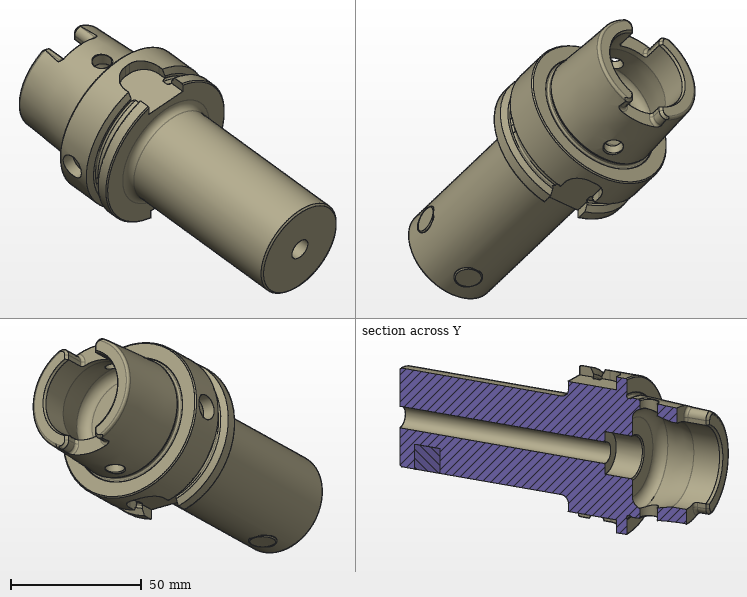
import cadquery as cq
import math

NOSE_X = -32.0
SHANK_END_X = 99.9

TAPER_RADIUS = 24.2
TAPER_SLOPE = 0.05
NOSE_EDGE_RADIUS = 1.1

UNDERCUT_START_X = -2.2
UNDERCUT_FLOOR_X = -1.3
UNDERCUT_RADIUS = 23.7
UNDERCUT_CORNER = 0.7
FACE_RELIEF_RADIUS = 25.2
FACE_RELIEF_DEPTH = 0.2

FLANGE_RADIUS = 31.5
FLANGE_WIDTH = 26.0
FLANGE_CHAMFER = 0.5

GROOVE_FRONT_X = 14.7
GROOVE_REAR_X = 21.3
GROOVE_RADIUS = 27.3
GROOVE_CORNER = 0.7
GROOVE_FLANK_DEPTH = 2.5
GROOVE_FLANK_ANGLE = 30.0
GROOVE_FLANK_RUN = GROOVE_FLANK_DEPTH * math.tan(math.radians(GROOVE_FLANK_ANGLE))

SHANK_RADIUS = 20.0
SHANK_FILLET = 3.0
SHANK_CHAMFER = 0.7

MOUTH_RADIUS = 17.6
MOUTH_LENGTH = 1.1
BORE_RADIUS = 17.0
BORE_LENGTH = 12.4
BORE_END_X = NOSE_X + BORE_LENGTH
CAVITY_RADIUS = 20.0
CAVITY_END_X = -6.5
CAVITY_FILLET = 4.2
BORE_FLOOR_X = CAVITY_END_X + CAVITY_FILLET
SEAT_RADIUS = 8.5
SEAT_CHAMFER = 0.5
SEAT_DEPTH = 12.0
COOLANT_RADIUS = 4.25

SLOT_WIDTH = 12.5
SLOT_EDGE_RADIUS = 3.0
SLOT_EDGE_Z = 20.75
SLOT_FLOOR_FILLET = 1.2
SLOT_MOUTH_CHAMFER = NOSE_EDGE_RADIUS
TOP_SLOT_DEPTH = 10.1
BOTTOM_SLOT_DEPTH = 6.0

ACCESS_X = -9.3
ACCESS_DIAMETER = 7.5
ACCESS_CHAMFER = 0.45

KEYWAY_FLOOR_Z = 26.3
KEYWAY_FRONT_X = 4.8
TOP_KEYWAY_WIDTH = 18.0
BOTTOM_KEYWAY_WIDTH = 16.0
KEYWAY_END_FLAT = 2.0

POCKET_X = 7.0
POCKET_DIAMETER = 10.0
POCKET_DEPTH = 5.0

SCREW_X = 87.8
SCREW_DIAMETER = 11.0
SCREW_LENGTH = 10.0
SCREW_CHAMFER = 0.5
SCREW_ANGLES = (180, -90)


def taper_radius(x):
    return TAPER_RADIUS + TAPER_SLOPE * (x - UNDERCUT_START_X)


def holder_blank():
    """Turned outside, from the nose to the end of the shank."""
    nose_edge_x = NOSE_X + NOSE_EDGE_RADIUS
    nose_mid = NOSE_EDGE_RADIUS * math.sqrt(0.5)
    undercut_mid = UNDERCUT_CORNER * (1 - math.sqrt(0.5))
    groove_mid = GROOVE_CORNER * (1 - math.sqrt(0.5))
    groove_wall_front_x = GROOVE_FRONT_X + GROOVE_FLANK_RUN
    groove_wall_rear_x = GROOVE_REAR_X - GROOVE_FLANK_RUN
    fillet_mid = SHANK_FILLET * (1 - math.sqrt(0.5))
    flank_radius = FLANGE_RADIUS - GROOVE_FLANK_DEPTH
    return (
        cq.Workplane("XY")
        .moveTo(NOSE_X, 0)
        .lineTo(NOSE_X, taper_radius(nose_edge_x) - NOSE_EDGE_RADIUS)
        .threePointArc(
            (nose_edge_x - nose_mid, taper_radius(nose_edge_x) - NOSE_EDGE_RADIUS + nose_mid),
            (nose_edge_x, taper_radius(nose_edge_x)),
        )
        .lineTo(UNDERCUT_START_X, TAPER_RADIUS)
        .lineTo(UNDERCUT_FLOOR_X, UNDERCUT_RADIUS)
        .lineTo(FACE_RELIEF_DEPTH - UNDERCUT_CORNER, UNDERCUT_RADIUS)
        .threePointArc(
            (FACE_RELIEF_DEPTH - undercut_mid, UNDERCUT_RADIUS + undercut_mid),
            (FACE_RELIEF_DEPTH, UNDERCUT_RADIUS + UNDERCUT_CORNER),
        )
        .lineTo(FACE_RELIEF_DEPTH, FACE_RELIEF_RADIUS - FACE_RELIEF_DEPTH)
        .lineTo(0, FACE_RELIEF_RADIUS)
        .lineTo(0, FLANGE_RADIUS - FLANGE_CHAMFER)
        .lineTo(FLANGE_CHAMFER, FLANGE_RADIUS)
        .lineTo(GROOVE_FRONT_X, FLANGE_RADIUS)
        .lineTo(groove_wall_front_x, flank_radius)
        .lineTo(groove_wall_front_x, GROOVE_RADIUS + GROOVE_CORNER)
        .threePointArc(
            (groove_wall_front_x + groove_mid, GROOVE_RADIUS + groove_mid),
            (groove_wall_front_x + GROOVE_CORNER, GROOVE_RADIUS),
        )
        .lineTo(groove_wall_rear_x - GROOVE_CORNER, GROOVE_RADIUS)
        .threePointArc(
            (groove_wall_rear_x - groove_mid, GROOVE_RADIUS + groove_mid),
            (groove_wall_rear_x, GROOVE_RADIUS + GROOVE_CORNER),
        )
        .lineTo(groove_wall_rear_x, flank_radius)
        .lineTo(GROOVE_REAR_X, FLANGE_RADIUS)
        .lineTo(FLANGE_WIDTH - FLANGE_CHAMFER, FLANGE_RADIUS)
        .lineTo(FLANGE_WIDTH, FLANGE_RADIUS - FLANGE_CHAMFER)
        .lineTo(FLANGE_WIDTH, SHANK_RADIUS + SHANK_FILLET)
        .threePointArc(
            (FLANGE_WIDTH + fillet_mid, SHANK_RADIUS + fillet_mid),
            (FLANGE_WIDTH + SHANK_FILLET, SHANK_RADIUS),
        )
        .lineTo(SHANK_END_X - SHANK_CHAMFER, SHANK_RADIUS)
        .lineTo(SHANK_END_X, SHANK_RADIUS - SHANK_CHAMFER)
        .lineTo(SHANK_END_X, 0)
        .close()
        .revolve(360, (0, 0, 0), (1, 0, 0))
    )


def bore():
    """Everything removed along the axis: mouth, bore, cavity, seat and coolant passage."""
    fillet_run = CAVITY_FILLET * math.sqrt(0.5)
    fillet_center_radius = CAVITY_RADIUS - CAVITY_FILLET
    return (
        cq.Workplane("XY")
        .moveTo(NOSE_X, 0)
        .lineTo(NOSE_X, MOUTH_RADIUS)
        .lineTo(NOSE_X + MOUTH_LENGTH, BORE_RADIUS)
        .lineTo(BORE_END_X, BORE_RADIUS)
        .lineTo(CAVITY_END_X, CAVITY_RADIUS)
        .threePointArc(
            (CAVITY_END_X + fillet_run, fillet_center_radius + fillet_run),
            (BORE_FLOOR_X, fillet_center_radius),
        )
        .lineTo(BORE_FLOOR_X, SEAT_RADIUS + SEAT_CHAMFER)
        .lineTo(BORE_FLOOR_X + SEAT_CHAMFER, SEAT_RADIUS)
        .lineTo(BORE_FLOOR_X + SEAT_DEPTH, SEAT_RADIUS)
        .lineTo(BORE_FLOOR_X + SEAT_DEPTH, COOLANT_RADIUS)
        .lineTo(SHANK_END_X, COOLANT_RADIUS)
        .lineTo(SHANK_END_X, 0)
        .close()
        .revolve(360, (0, 0, 0), (1, 0, 0))
    )


def drive_slot_outline(x, spread):
    """Cross-section of a +Z drive slot at x, with every wall moved out by the given spread."""
    half = SLOT_WIDTH / 2 + spread
    edge_z = SLOT_EDGE_Z - spread
    radius = SLOT_EDGE_RADIUS - spread
    mid = radius * (1 - math.sqrt(0.5))
    outside_y = SLOT_WIDTH
    return (
        cq.Workplane("YZ", origin=(x, 0, 0))
        .moveTo(-half, 0)
        .lineTo(half, 0)
        .lineTo(half, edge_z - radius)
        .threePointArc((half + mid, edge_z - mid), (half + radius, edge_z))
        .lineTo(outside_y, edge_z)
        .lineTo(outside_y, FLANGE_RADIUS)
        .lineTo(-outside_y, FLANGE_RADIUS)
        .lineTo(-outside_y, edge_z)
        .lineTo(-half - radius, edge_z)
        .threePointArc((-half - mid, edge_z - mid), (-half, edge_z - radius))
        .close()
    )


def drive_slot(depth):
    """Cutter for a slot in the +Z side of the nose, with rounded outer edges and a flared mouth."""
    slot = (
        drive_slot_outline(NOSE_X, 0)
        .extrude(depth)
        .faces(">X")
        .edges()
        .fillet(SLOT_FLOOR_FILLET)
    )
    mouth_wire = drive_slot_outline(NOSE_X, SLOT_MOUTH_CHAMFER).val()
    slot_wire = drive_slot_outline(NOSE_X + SLOT_MOUTH_CHAMFER, 0).val()
    mouth = cq.Solid.makeLoft([mouth_wire, slot_wire], True)
    return slot.union(cq.Workplane(mouth))


def access_hole():
    """Cutter for the hole through the taper wall on +Z, countersunk at the outside."""
    radius = ACCESS_DIAMETER / 2
    rim_radius = radius + ACCESS_CHAMFER
    surface_z = taper_radius(ACCESS_X)
    return (
        cq.Workplane("XZ", origin=(ACCESS_X, 0, 0))
        .lineTo(radius, 0)
        .lineTo(radius, surface_z - ACCESS_CHAMFER)
        .lineTo(rim_radius, surface_z)
        .lineTo(rim_radius, FLANGE_RADIUS)
        .lineTo(0, FLANGE_RADIUS)
        .close()
        .revolve(360, (0, 0, 0), (0, 1, 0))
    )


def keyway(width):
    """Cutter for a flat-floored keyway in the +Z side of the flange, open at the back."""
    length = FLANGE_WIDTH - KEYWAY_FRONT_X
    return (
        cq.Workplane("XY", origin=(KEYWAY_FRONT_X + length / 2, 0, KEYWAY_FLOOR_Z))
        .rect(length, width)
        .extrude(FLANGE_RADIUS - KEYWAY_FLOOR_Z)
        .edges("|Z and <X")
        .fillet((width - KEYWAY_END_FLAT) / 2)
    )


def rim_pocket():
    """Cutter for the round blind pocket in the -Y side of the flange."""
    return (
        cq.Workplane("XZ", origin=(POCKET_X, -FLANGE_RADIUS + POCKET_DEPTH, 0))
        .circle(POCKET_DIAMETER / 2)
        .extrude(POCKET_DEPTH)
    )


def on_bottom(cutter):
    """Turns a +Z feature to the -Z side."""
    return cutter.rotate((0, 0, 0), (1, 0, 0), 180)


def clamping_screw_hole(angle):
    """Blind hole in the shank for a clamping screw, turned about X from +Z by the given angle."""
    return (
        cq.Workplane("XY", origin=(SCREW_X, 0, SHANK_RADIUS - SCREW_LENGTH))
        .circle(SCREW_DIAMETER / 2)
        .extrude(SCREW_LENGTH)
        .rotate((0, 0, 0), (1, 0, 0), angle)
    )


def clamping_screw(angle):
    """Screw that fills its hole, with a chamfered outer end."""
    return (
        cq.Workplane("XY", origin=(SCREW_X, 0, SHANK_RADIUS - SCREW_LENGTH))
        .circle(SCREW_DIAMETER / 2)
        .extrude(SCREW_LENGTH)
        .faces(">Z")
        .chamfer(SCREW_CHAMFER)
        .rotate((0, 0, 0), (1, 0, 0), angle)
    )


def tool_holder():
    """The turned holder with its slots, holes, keyways and pocket."""
    holder = (
        holder_blank()
        .cut(drive_slot(TOP_SLOT_DEPTH))
        .cut(on_bottom(drive_slot(BOTTOM_SLOT_DEPTH)))
        .cut(bore())
        .cut(access_hole())
        .cut(on_bottom(access_hole()))
        .cut(keyway(TOP_KEYWAY_WIDTH))
        .cut(on_bottom(keyway(BOTTOM_KEYWAY_WIDTH)))
        .cut(rim_pocket())
    )
    for angle in SCREW_ANGLES:
        holder = holder.cut(clamping_screw_hole(angle))
    return holder


holder = tool_holder()
screws = [clamping_screw(angle) for angle in SCREW_ANGLES]

result = cq.Compound.makeCompound([holder.solids().val(), *[screw.val() for screw in screws]])